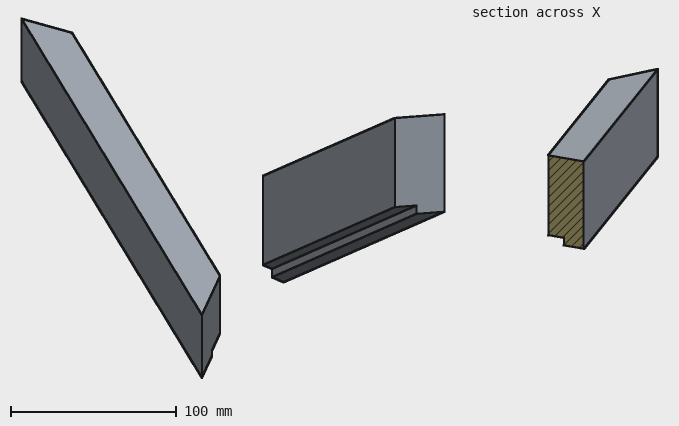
import cadquery as cq

length = 256.0
thickness = 23.0
height = 60.0
rebate_depth = 10.0
rebate_height = 5.0

half_long = length / 2
half_short = half_long - thickness

board = (
    cq.Workplane("XY")
    .polyline([(-half_long, 0), (half_long, 0), (half_short, thickness), (-half_short, thickness)])
    .close()
    .extrude(height)
)

rebate = (
    cq.Workplane("XY")
    .box(length, rebate_depth, rebate_height, centered=(True, False, False))
    .translate((0, thickness - rebate_depth, 0))
)

result = board.cut(rebate)